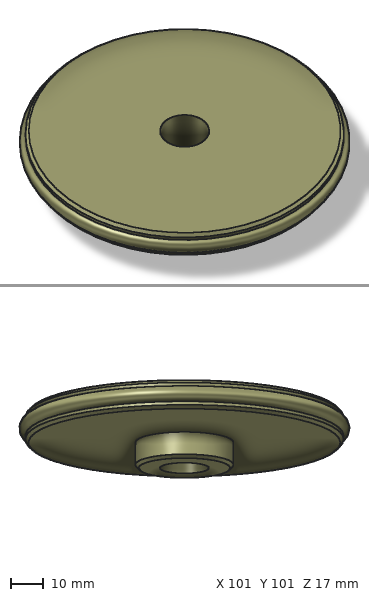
import cadquery as cq

disc_radius = 48.7
disc_thickness = 9.0
hub_diameter = 30.0
total_height = 17.0
bore_diameter = 15.0
edge_chamfer = 1.0

tyre_outer_radius = 50.5
tyre_section_radius = 2.5
tyre_center_radius = tyre_outer_radius - tyre_section_radius
tyre_center_height = disc_thickness / 2

hub_height = total_height - disc_thickness


def make_tyre():
    """Ring made by sweeping the round section about the wheel axis."""
    return (
        cq.Workplane("XZ")
        .center(tyre_center_radius, tyre_center_height)
        .circle(tyre_section_radius)
        .revolve(360, (-tyre_center_radius, 0), (-tyre_center_radius, 1))
    )


def make_wheel():
    """Bored disc and hub in one piece, with a rim groove that fits the tyre."""
    disc = (
        cq.Workplane("XY")
        .circle(disc_radius)
        .extrude(disc_thickness)
        .edges()
        .chamfer(edge_chamfer)
    )
    hub = (
        cq.Workplane("XY")
        .circle(hub_diameter / 2)
        .extrude(-hub_height)
        .faces("<Z")
        .edges()
        .chamfer(edge_chamfer)
    )
    bore = (
        cq.Workplane("XY")
        .workplane(offset=-hub_height)
        .circle(bore_diameter / 2)
        .extrude(total_height)
    )
    return disc.union(hub).cut(bore).cut(make_tyre()).solids()


wheel = make_wheel()
tyre = make_tyre()

result = cq.Compound.makeCompound([wheel.val(), tyre.val()])